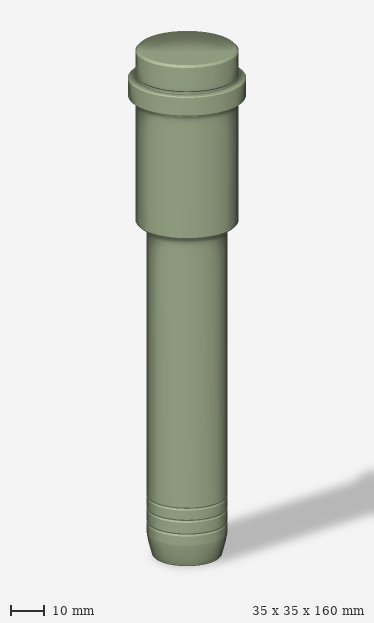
import cadquery as cq

length = 160.0
flange_radius = 35.0 / 2
sleeve_radius = 30.5 / 2
shaft_radius = 24.0 / 2
tip_radius = 20.8 / 2

flange_top = 151.0
flange_bottom = 144.8
sleeve_bottom = 105.0
nose_height = 7.2
groove_centers = (10.5, 14.9, 18.7)

edge_chamfer = 0.6
flange_chamfer = 0.3
tip_chamfer = 0.3
relief_width = 1.0
relief_depth = 0.5
groove_width = 1.0
groove_depth = 0.3
nose_bulge = 0.2


def cylinder(radius, bottom, top):
    return cq.Workplane("XY").workplane(offset=bottom).circle(radius).extrude(top - bottom)


def vee_cutter(radius, depth, bottom, width):
    """Ring that cuts a V-shaped groove into a cylinder of the given radius."""
    profile = [
        (radius, bottom),
        (radius - depth, bottom + width / 2),
        (radius, bottom + width),
        (radius + depth, bottom + width / 2),
    ]
    return cq.Workplane("XZ").polyline(profile).close().revolve(360, (0, 0, 0), (0, 1, 0))


def ring_cutter(radius, depth, bottom, width):
    """Ring that removes a square groove from a cylinder of the given radius."""
    return (
        cq.Workplane("XY").workplane(offset=bottom)
        .circle(radius + depth).circle(radius - depth).extrude(width)
    )


nose_middle = ((shaft_radius + tip_radius) / 2 + nose_bulge, nose_height / 2)
nose = (
    cq.Workplane("XZ")
    .lineTo(tip_radius - tip_chamfer, 0)
    .lineTo(tip_radius, tip_chamfer)
    .threePointArc(nose_middle, (shaft_radius, nose_height))
    .lineTo(0, nose_height)
    .close()
    .revolve(360, (0, 0, 0), (0, 1, 0))
)

shaft = cylinder(shaft_radius, nose_height, sleeve_bottom)
for center in groove_centers:
    shaft = shaft.cut(vee_cutter(shaft_radius, groove_depth, center - groove_width / 2, groove_width))
shaft = shaft.cut(ring_cutter(shaft_radius, relief_depth, sleeve_bottom - relief_width, relief_width))

sleeve = cylinder(sleeve_radius, sleeve_bottom, length).faces("<Z or >Z").chamfer(edge_chamfer)
for relief_bottom in (flange_bottom - relief_width, flange_top):
    sleeve = sleeve.cut(vee_cutter(sleeve_radius, relief_depth, relief_bottom, relief_width))

flange = cylinder(flange_radius, flange_bottom, flange_top).faces("<Z or >Z").chamfer(flange_chamfer)

result = nose.union(shaft).union(sleeve).union(flange)